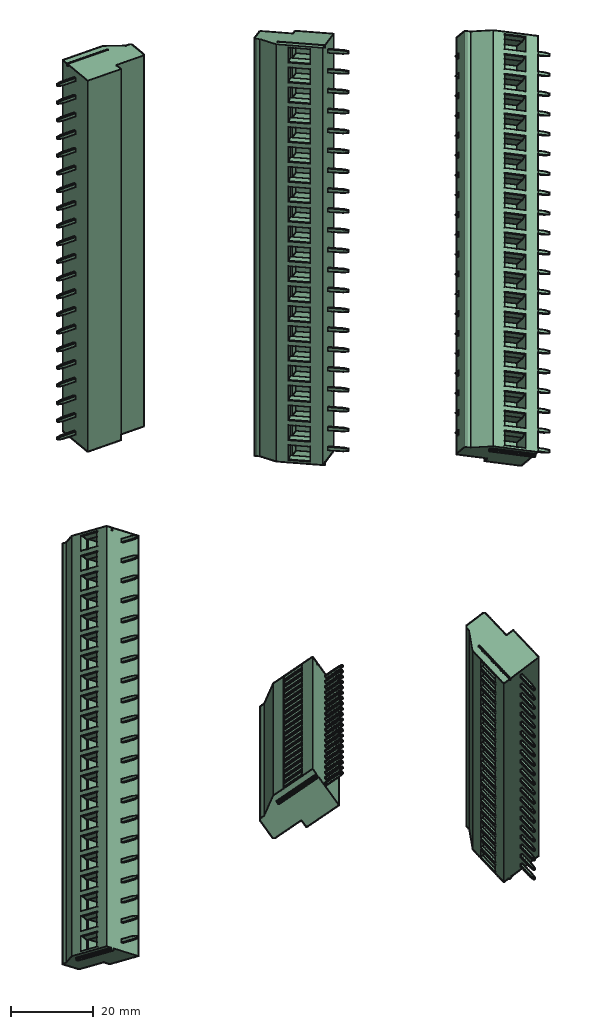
import cadquery as cq


pole_count = 21
total_length = 107.3
rail_height = 0.6
body_length = total_length - rail_height
pitch = body_length / pole_count

body_width = 11.2
body_depth = 17.9
step_x = 9.0
step_y = 9.7
nose_x = 2.9
slope_start_y = 11.7
slope_end_y = 16.4
edge_radius = 0.5

rail_x = 2.0
rail_length = 11.8
rail_root_width = 1.0
rail_tip_width = 0.4
rail_straight = 0.3
groove_width = 0.3

entry_y_min = 3.2
entry_y_max = 8.7
entry_height = 3.9
lip_depth = 0.6
shelf_depth = 2.1
entry_depth = 5.9
inset = 0.5

pin_x = 5.5
pin_width = 0.6
pin_thickness = 0.9
pin_length = 5.0
pin_tip_length = 1.3
pin_tip_thickness = 0.5
pin_tip_width = 0.4
pin_root = 0.5

wedge_x = 7.4
wedge_width = 0.6
wedge_base = 1.3
wedge_height = 0.5


def pole_height(index):
    """Z of the middle of a pole, counted from the bottom."""
    return rail_height + (index + 0.5) * pitch


def make_body():
    profile = [
        (0, 0),
        (body_width, 0),
        (body_width, step_y),
        (step_x, step_y),
        (step_x, body_depth),
        (nose_x, body_depth),
        (nose_x, slope_end_y),
        (0, slope_start_y),
    ]
    body = cq.Workplane("XY", origin=(0, 0, rail_height)).polyline(profile).close().extrude(body_length)
    return body.faces(">Y").edges("|Z").fillet(edge_radius)


def make_rail():
    """Bar under the bottom end, parallel-sided at its root and tapering to its tip."""
    half_root = rail_root_width / 2
    half_tip = rail_tip_width / 2
    shoulder_z = rail_height - rail_straight
    profile = [
        (rail_x - half_root, rail_height),
        (rail_x - half_root, shoulder_z),
        (rail_x - half_tip, 0),
        (rail_x + half_tip, 0),
        (rail_x + half_root, shoulder_z),
        (rail_x + half_root, rail_height),
    ]
    return cq.Workplane("XZ").polyline(profile).close().extrude(-rail_length)


def make_groove():
    """Slot in the top end, in line with the rail."""
    start = (rail_x - groove_width / 2, 0, total_length - rail_height)
    return cq.Workplane("XY", origin=start).box(groove_width, rail_length, rail_height, centered=False)


def make_entry(z):
    """Wire entry whose floor and ceiling converge, with a shelf on its +Y side."""
    half_mouth = entry_height / 2
    half_inner = half_mouth - inset
    profile = [
        (0, z - half_mouth),
        (lip_depth, z - half_mouth),
        (shelf_depth, z - half_inner),
        (shelf_depth, z + half_inner),
        (lip_depth, z + half_mouth),
        (0, z + half_mouth),
    ]
    mouth = (
        cq.Workplane("XZ", origin=(0, entry_y_min, 0))
        .polyline(profile)
        .close()
        .extrude(entry_y_min - entry_y_max)
    )
    inner_width = entry_y_max - inset - entry_y_min
    cavity = (
        cq.Workplane("XY", origin=(0, entry_y_min, z - half_inner))
        .box(entry_depth, inner_width, 2 * half_inner, centered=False)
    )
    return mouth.union(cavity)


def make_pin(z):
    """Rectangular pin with all four sides tapering at its tip."""
    shank_length = pin_length - pin_tip_length
    shank = (
        cq.Workplane("XZ", origin=(pin_x, pin_root, z))
        .rect(pin_width, pin_thickness)
        .extrude(pin_root + shank_length)
    )
    tip = (
        cq.Workplane("XZ", origin=(pin_x, -shank_length, z))
        .rect(pin_width, pin_thickness)
        .workplane(offset=pin_tip_length)
        .rect(pin_tip_width, pin_tip_thickness)
        .loft(ruled=True)
    )
    return shank.union(tip)


def make_wedge(z):
    half = wedge_base / 2
    profile = [
        (body_depth, z - half),
        (body_depth + wedge_height, z),
        (body_depth, z + half),
    ]
    start_x = wedge_x - wedge_width / 2
    return cq.Workplane("YZ", origin=(start_x, 0, 0)).polyline(profile).close().extrude(wedge_width)


result = make_body().union(make_rail()).cut(make_groove())

for index in range(pole_count):
    z = pole_height(index)
    result = result.cut(make_entry(z)).union(make_pin(z))
    if index > 0:
        result = result.union(make_wedge(z - pitch / 2))